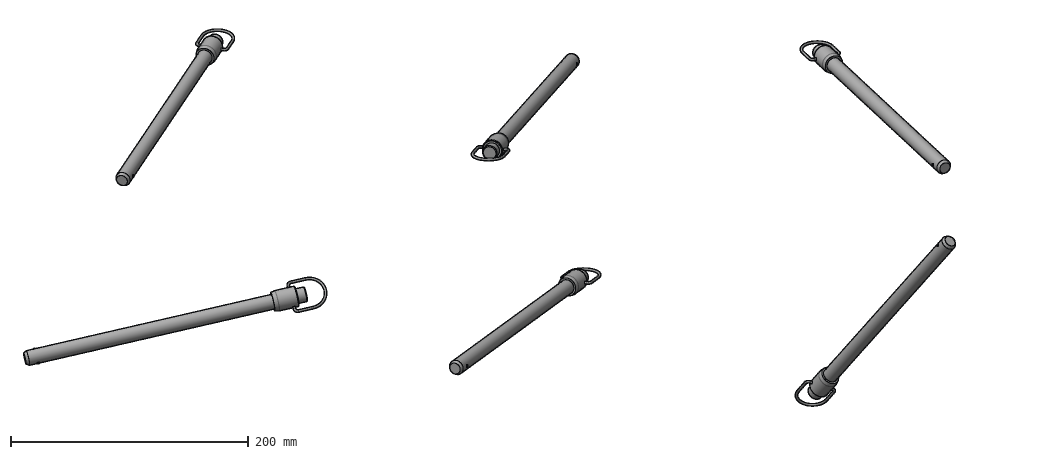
import cadquery as cq

total_length = 262.0
handle_width = 29.3
collar_diameter = 17.8
shaft_diameter = 12.8
wire_diameter = 2.4

button_start = 17.8
collar_start = 25.7
taper_start = 43.0
collar_end = 46.5
handle_foot = 30.5

button_chamfer = 0.8
collar_chamfer = 0.8
collar_end_diameter = 16.2
tip_chamfer_length = 2.5
tip_chamfer_depth = 1.5
ball_diameter = 2.5
ball_reach = 7.3
ball_from_tip = 10.0
bend_radius = 2.5

loop_top = total_length / 2
tip = -total_length / 2
shaft_radius = shaft_diameter / 2
collar_radius = collar_diameter / 2


def make_body():
    """Button, collar and shaft as one turned profile around Y."""
    button_y = loop_top - button_start
    collar_y = loop_top - collar_start
    profile = [
        (0, button_y),
        (shaft_radius - button_chamfer, button_y),
        (shaft_radius, button_y - button_chamfer),
        (shaft_radius, collar_y),
        (collar_radius - collar_chamfer, collar_y),
        (collar_radius, collar_y - collar_chamfer),
        (collar_radius, loop_top - taper_start),
        (collar_end_diameter / 2, loop_top - collar_end),
        (shaft_radius, loop_top - collar_end),
        (shaft_radius, tip + tip_chamfer_length),
        (shaft_radius - tip_chamfer_depth, tip),
        (0, tip),
    ]
    return cq.Workplane("XY").polyline(profile).close().revolve(360, (0, 0, 0), (0, 1, 0))


def make_handle():
    """Round wire loop whose two feet turn inwards into the collar."""
    half_span = (handle_width - wire_diameter) / 2
    arc_y = loop_top - wire_diameter / 2 - half_span
    foot_y = loop_top - handle_foot
    foot_x = shaft_radius
    bend_x = half_span - bend_radius
    bend_y = foot_y + bend_radius
    path = (
        cq.Workplane("XY")
        .moveTo(-foot_x, foot_y)
        .lineTo(-bend_x, foot_y)
        .tangentArcPoint((-half_span, bend_y), relative=False)
        .lineTo(-half_span, arc_y)
        .threePointArc((0, arc_y + half_span), (half_span, arc_y))
        .lineTo(half_span, bend_y)
        .tangentArcPoint((bend_x, foot_y), relative=False)
        .lineTo(foot_x, foot_y)
    )
    section = cq.Workplane("YZ", origin=(-foot_x, foot_y, 0)).circle(wire_diameter / 2)
    return section.sweep(path)


def make_ball(side):
    """Locking ball standing out of the shaft near its tip; side is -1 or 1."""
    ball_radius = ball_diameter / 2
    center = (side * (ball_reach - ball_radius), tip + ball_from_tip, 0)
    return cq.Workplane("XY").sphere(ball_radius).translate(center)


result = make_body().union(make_handle())
for side in (-1, 1):
    result = result.union(make_ball(side))